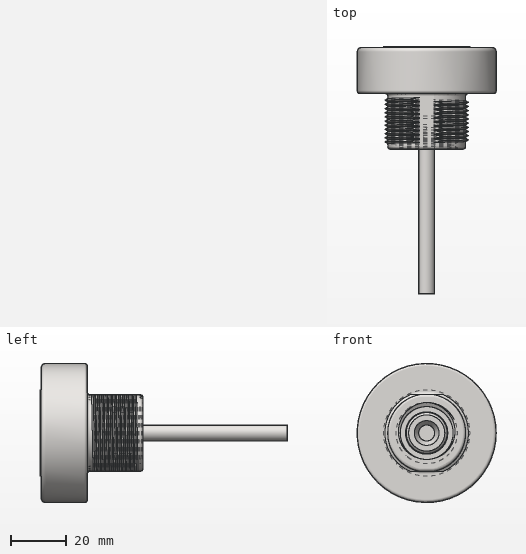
import cadquery as cq


HEAD_RADIUS = 25.0
HEAD_LENGTH = 16.6
HEAD_FRONT_FILLET = 1.0
HEAD_BACK_FILLET = 1.6
PAD_RADIUS = 15.5
PAD_HEIGHT = 0.4

NECK_LENGTH = 20.0
NECK_CORE_RADIUS = 14.0
NECK_FLAT_DISTANCE = 13.75
NECK_FILLET = 1.0
ROOT_TOLERANCE = 0.1
OUTER_CREST_RADIUS = 15.0
OUTER_PITCH = 1.5
OUTER_RIDGE_WIDTH = 1.3
OUTER_TURNS = 10.5
OUTER_THREAD_START = 2.0

BORE_RADIUS = 9.5
BORE_DEPTH = 12.0
INNER_GROOVE_RADIUS = 11.0
INNER_PITCH = 2.0
INNER_GROOVE_WIDTH = 1.9
INNER_TURNS = 5.0

THREAD_OVERLAP = 0.1

POST_FOOT_RADIUS = 7.6
POST_FOOT_HEIGHT = 1.0
POST_RADIUS = 7.35
POST_CHAMFER = 0.85
POST_RECESS = 2.6
CONE_MOUTH_RADIUS = 4.45
CONE_DEPTH = 3.0

CABLE_RADIUS = 2.875
CABLE_LENGTH = 51.9

TOP_ANGLE = 90.0


def cylinder(radius, y_start, length):
    """Solid cylinder on the Y axis that runs towards -Y from y_start."""
    return cq.Workplane("XZ", origin=(0, y_start, 0)).circle(radius).extrude(length)


def helical_ridge(root_radius, tip_radius, width, pitch, turns, start):
    """Right-handed triangular ridge towards -Y; it starts at +Z, centred on Y = -start."""
    path = cq.Workplane(cq.Wire.makeHelix(pitch, pitch * turns, root_radius))
    ridge = (
        cq.Workplane("XZ")
        .moveTo(root_radius, -width / 2)
        .lineTo(tip_radius, 0)
        .lineTo(root_radius, width / 2)
        .close()
        .sweep(path, isFrenet=True)
    )
    ridge = ridge.rotate((0, 0, 0), (0, 0, 1), TOP_ANGLE)
    ridge = ridge.rotate((0, 0, 0), (1, 0, 0), 90)
    return ridge.translate((0, -start, 0))


def make_head():
    head = cylinder(HEAD_RADIUS, HEAD_LENGTH, HEAD_LENGTH)
    head = head.faces("<Y").edges().fillet(HEAD_FRONT_FILLET)
    head = head.faces(">Y").edges().fillet(HEAD_BACK_FILLET)
    pad = cylinder(PAD_RADIUS, HEAD_LENGTH + PAD_HEIGHT, PAD_HEIGHT)
    return head.union(pad)


def make_neck():
    """Threaded neck, cut level with its two flats and rounded at its front end."""
    thread = helical_ridge(
        NECK_CORE_RADIUS - THREAD_OVERLAP,
        OUTER_CREST_RADIUS,
        OUTER_RIDGE_WIDTH,
        OUTER_PITCH,
        OUTER_TURNS,
        OUTER_THREAD_START,
    )
    flats = cq.Workplane("XY").box(2 * HEAD_RADIUS, 4 * NECK_LENGTH, 2 * NECK_FLAT_DISTANCE)
    neck = cylinder(NECK_CORE_RADIUS, 0, NECK_LENGTH).union(thread).intersect(flats)
    return neck.faces("<Y").edges().fillet(NECK_FILLET)


def join_neck(head):
    """Join the neck to the head with a fillet around its root."""
    root_zone = cq.selectors.BoxSelector(
        (-OUTER_CREST_RADIUS, -ROOT_TOLERANCE, -OUTER_CREST_RADIUS),
        (OUTER_CREST_RADIUS, ROOT_TOLERANCE, OUTER_CREST_RADIUS),
        boundingbox=True,
    )
    return head.union(make_neck()).edges(root_zone).fillet(NECK_FILLET)


def cut_threaded_bore(body):
    """Open the bore; its thread groove runs out through the front end of the neck."""
    bore = cylinder(BORE_RADIUS, BORE_DEPTH - NECK_LENGTH, BORE_DEPTH)
    groove = helical_ridge(
        BORE_RADIUS - THREAD_OVERLAP,
        INNER_GROOVE_RADIUS,
        INNER_GROOVE_WIDTH,
        INNER_PITCH,
        INNER_TURNS,
        NECK_LENGTH + INNER_PITCH - INNER_PITCH * INNER_TURNS,
    )
    return body.cut(bore).cut(groove)


def make_post():
    """Gland post with a chamfered rim, a small foot and a conical mouth around the cable."""
    floor = BORE_DEPTH - NECK_LENGTH
    foot_top = floor - POST_FOOT_HEIGHT
    tip = POST_RECESS - NECK_LENGTH
    return (
        cq.Workplane("XY")
        .moveTo(0, floor)
        .lineTo(POST_FOOT_RADIUS, floor)
        .lineTo(POST_FOOT_RADIUS, foot_top)
        .lineTo(POST_RADIUS, foot_top)
        .lineTo(POST_RADIUS, tip + POST_CHAMFER)
        .lineTo(POST_RADIUS - POST_CHAMFER, tip)
        .lineTo(CONE_MOUTH_RADIUS, tip)
        .lineTo(CABLE_RADIUS, tip + CONE_DEPTH)
        .lineTo(0, tip + CONE_DEPTH)
        .close()
        .revolve(360, (0, 0, 0), (0, 1, 0))
    )


def make_cable():
    """Cable from the bore floor out to its free end."""
    return cylinder(CABLE_RADIUS, BORE_DEPTH - NECK_LENGTH, BORE_DEPTH + CABLE_LENGTH)


body = join_neck(make_head())
body = cut_threaded_bore(body)
result = body.union(make_post()).union(make_cable())